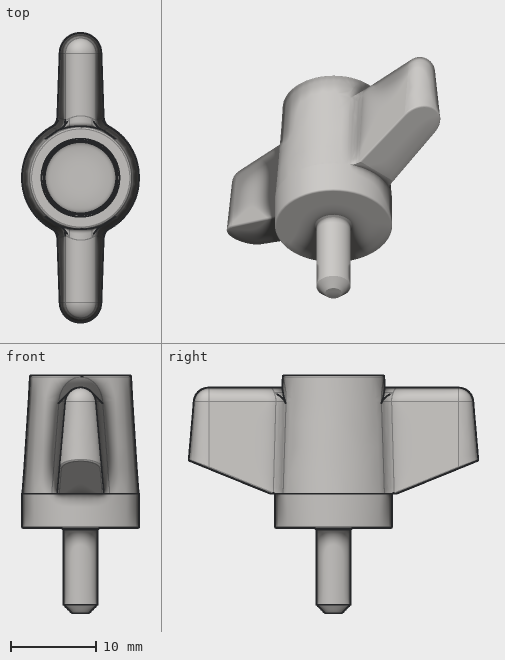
import cadquery as cq
import math

base_diameter = 13.75
base_height = 4.0
base_edge_round = 0.2
hub_bottom_diameter = 13.7
hub_top_diameter = 11.9
hub_top = 17.9
hub_edge_round = 0.2

recess_diameter = 8.75
recess_floor_diameter = 8.35
recess_depth = 1.0
recess_chamfer = 0.2

pin_diameter = 4.0
pin_length = 10.0
pin_chamfer = 1.02
pin_neck_height = 0.2
pin_neck_diameter = 4.4

wing_span = 33.97
wing_top = 16.48
wing_draft = 5
wing_ridge_radius = 1.8
wing_tip_bottom = 7.9
wing_root_offset = 7.37
wing_root_fillet = 1.32
flare_half_width = 2.5
wing_edge_round = 0.2

draft = math.radians(wing_draft)
ridge_center = wing_top - wing_ridge_radius
tangent_half_width = wing_ridge_radius * math.cos(draft)
tangent_height = ridge_center + wing_ridge_radius * math.sin(draft)


def half_width_at(height):
    """Half the wing thickness on its drafted sides."""
    return tangent_half_width + (tangent_height - height) * math.tan(draft)


underside_angle = math.atan2(wing_tip_bottom - base_height, wing_span / 2 - wing_root_offset)
tip_corner_angle = math.pi / 2 - draft + underside_angle
rounding_loss = wing_edge_round / math.tan(tip_corner_angle / 2) * math.sin(draft)
wing_tip_corner = wing_span / 2 + rounding_loss
wing_tip_axis = wing_tip_corner - half_width_at(wing_tip_bottom)


def make_base():
    base = cq.Workplane("XY").circle(base_diameter / 2).extrude(base_height)
    return base.faces("<Z").edges().fillet(base_edge_round)


def make_hub():
    """Tapered hub, continued down to Z = 0 so that the wing fillets run past its lower end."""
    taper = (hub_bottom_diameter - hub_top_diameter) / 2 / (hub_top - base_height)
    lowest_radius = hub_top_diameter / 2 + taper * hub_top
    return cq.Workplane(cq.Solid.makeCone(lowest_radius, hub_top_diameter / 2, hub_top))


def wing_half_section():
    """Half of the drafted, round-topped wing section."""
    arc_middle_angle = (math.pi / 2 + draft) / 2
    arc_middle = (
        wing_ridge_radius * math.cos(arc_middle_angle),
        ridge_center + wing_ridge_radius * math.sin(arc_middle_angle),
    )
    return (
        cq.Workplane("XZ")
        .lineTo(half_width_at(0), 0)
        .lineTo(tangent_half_width, tangent_height)
        .threePointArc(arc_middle, (0, wing_top))
        .close()
    )


def make_wings():
    half_bar = wing_half_section().extrude(wing_tip_axis, both=True)
    wings = half_bar.union(half_bar.mirror("YZ"))
    tip = wing_half_section().revolve(360, (0, 0, 0), (0, 1, 0))
    for side in (-1, 1):
        wings = wings.union(tip.translate((0, side * wing_tip_axis, 0)))
    return wings


def is_root_edge(edge):
    """True for the edges where a wing leaves the tapered hub."""
    box = edge.BoundingBox()
    near_hub = max(abs(box.ymin), abs(box.ymax)) < wing_root_offset
    beside_wing = max(abs(box.xmin), abs(box.xmax)) < wing_root_offset / 2
    return near_hub and beside_wing and box.zmax - box.zmin > wing_root_fillet


def trim_flare_top(body):
    """Slope the top of each root flare so that it meets the ridge tangentially."""
    tangent_angle = math.acos(wing_ridge_radius / flare_half_width)
    touch_x = wing_ridge_radius * math.cos(tangent_angle)
    touch_z = ridge_center + wing_ridge_radius * math.sin(tangent_angle)
    corner_slope = (touch_z - ridge_center) / (flare_half_width - touch_x)
    outer_x = hub_top_diameter / 2
    outer_z = ridge_center - corner_slope * (outer_x - flare_half_width)
    above = (
        cq.Workplane("XZ")
        .moveTo(-outer_x, outer_z)
        .lineTo(-touch_x, touch_z)
        .threePointArc((0, wing_top), (touch_x, touch_z))
        .lineTo(outer_x, outer_z)
        .lineTo(outer_x, hub_top)
        .lineTo(-outer_x, hub_top)
        .close()
        .extrude(wing_tip_axis, both=True)
    )
    return body.cut(above.cut(make_hub()))


def trim_underside(body, slope_start):
    """Cut the body flat near the axis, and sloping up to the wing tips from slope_start outward."""
    slope = math.tan(underside_angle)
    reach = wing_span
    start_height = base_height + slope * (slope_start - wing_root_offset)
    reach_height = base_height + slope * (reach - wing_root_offset)
    waste = (
        cq.Workplane("YZ")
        .moveTo(-slope_start, start_height)
        .lineTo(slope_start, start_height)
        .lineTo(reach, reach_height)
        .lineTo(reach, -base_height)
        .lineTo(-reach, -base_height)
        .lineTo(-reach, reach_height)
        .close()
        .extrude(base_diameter, both=True)
    )
    return body.cut(waste)


def make_rim_waste(wings):
    """What lies below the sloped, round-rimmed undersides of the wings."""
    slope_start = hub_bottom_diameter / 4
    trimmed = trim_underside(wings, slope_start)
    rims = []
    for face in trimmed.faces("%PLANE").vals():
        if face.normalAt().z < -0.5:
            rims += [edge for edge in face.Edges() if abs(edge.Center().y) > slope_start * 1.01]
    return wings.cut(trimmed.newObject(rims).fillet(wing_edge_round))


def make_recess():
    """Tapered recess, wider at its mouth."""
    recess = cq.Solid.makeCone(
        recess_floor_diameter / 2,
        recess_diameter / 2,
        recess_depth,
        cq.Vector(0, 0, hub_top - recess_depth),
    )
    mouth = cq.Solid.makeCone(
        recess_diameter / 2,
        recess_diameter / 2 + recess_chamfer,
        recess_chamfer,
        cq.Vector(0, 0, hub_top - recess_chamfer),
    )
    return cq.Workplane(recess).union(cq.Workplane(mouth))


def make_pin():
    pin = cq.Workplane("XY").circle(pin_diameter / 2).extrude(-pin_length)
    pin = pin.faces("<Z").chamfer(pin_chamfer)
    neck = cq.Solid.makeCone(
        pin_neck_diameter / 2,
        pin_diameter / 2,
        pin_neck_height,
        dir=cq.Vector(0, 0, -1),
    )
    return pin.union(cq.Workplane(neck))


wings = make_wings()
body = make_hub().union(wings)
root_edges = [edge for edge in body.edges().vals() if is_root_edge(edge)]
body = body.newObject(root_edges).fillet(wing_root_fillet)
body = trim_flare_top(body)
body = body.faces(">Z").edges().fillet(hub_edge_round)
body = body.cut(make_rim_waste(wings))
body = trim_underside(body, wing_root_offset)
body = body.union(make_base()).cut(make_recess()).union(make_pin())
result = body.solids()